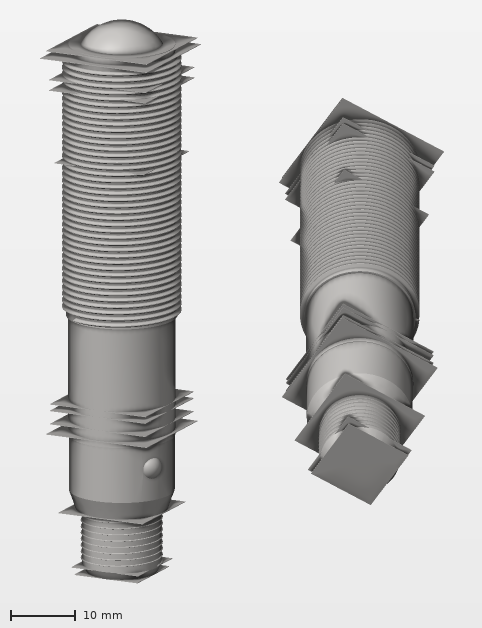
import cadquery as cq
import math

TOTAL_HEIGHT = 87.9
BARREL_TOP = 84.3
BEZEL_BOTTOM = 83.4
THREAD_TOP = 83.1
THREAD_BOTTOM = 40.9
BARREL_BOTTOM = 27.7
UPPER_BAND_BOTTOM = 26.6
MIDDLE_BAND_BOTTOM = 24.5
LOWER_BAND_BOTTOM = 22.9
CAP_SHOULDER = 21.9
CAP_TAPER_TOP = 13.1
CAP_BOTTOM = 10.1
CONNECTOR_CHAMFER_TOP = 1.3

BARREL_RADIUS = 8.3
THREAD_ROOT_RADIUS = 8.6
THREAD_CREST_RADIUS = 9.2
LENS_RIM_RADIUS = 6.7
LENS_DOME_RADIUS = 6.3
CAP_RADIUS = 8.2
CAP_END_RADIUS = 7.1
CONNECTOR_RADIUS = 6.15
CONNECTOR_CREST_RADIUS = 6.3
CONNECTOR_END_RADIUS = 5.45

THREAD_TURNS = 42
THREAD_PITCH = (THREAD_TOP - THREAD_BOTTOM) / THREAD_TURNS
THREAD_START_ANGLE = -118.0
CONNECTOR_TURNS = 8
CONNECTOR_START_ANGLE = 0.0
CONNECTOR_THREAD_BOTTOM = 1.6
THREAD_FOOT_WIDTH = 0.8
THREAD_CREST_WIDTH = 0.12
CONNECTOR_FOOT_WIDTH = 0.3
CONNECTOR_CREST_WIDTH = 0.1
RIDGE_OVERLAP = 0.1

PLATE_THICKNESS = 0.1
TOP_PLATE_HALF = 8.7
THREAD_PLATE_SIDE = 18.45
THREAD_PLATE_X = -0.1
THREAD_PLATE_Y = -0.3
UPPER_PLATE_HALF = 8.35
UPPER_PLATE_HEIGHTS = (79.5, 77.85)
NARROW_PLATE_HALF = 7.7
NARROW_PLATE_HEIGHT = 66.2
CAP_PLATE_HALF = 8.7
TAPER_PLATE_HALF = 7.3
CONNECTOR_PLATE_HALF = 5.8

LAMP_HEIGHT = 18.2
LAMP_RADIUS = 1.8
LAMP_ANGLE = -27.0
LAMP_INNER = 6.6
LAMP_RIM = 8.0
LAMP_TIP = 9.0


def disc(radius, bottom, top):
    return cq.Workplane("XY").workplane(offset=bottom).circle(radius).extrude(top - bottom)


def square_plate(side, top, x=0.0, y=0.0):
    """Thin square plate whose upper face lies at the given height."""
    return cq.Workplane("XY", origin=(x, y, top - PLATE_THICKNESS)).rect(side, side).extrude(PLATE_THICKNESS)


def helical_ridge(root_radius, crest_radius, foot_width, crest_width, turns, bottom, start_angle):
    """Right-handed trapezoidal ridge built turn by turn, closed by a flat face at each end."""
    foot_radius = root_radius - RIDGE_OVERLAP
    foot_half = foot_width / 2
    crest_half = crest_width / 2
    corners = [
        (foot_radius, -foot_half),
        (crest_radius, -crest_half),
        (crest_radius, crest_half),
        (foot_radius, foot_half),
    ]
    helices = [
        cq.Wire.makeHelix(THREAD_PITCH, THREAD_PITCH, radius).moved(cq.Location(cq.Vector(0, 0, rise)))
        for radius, rise in corners
    ]
    single_turn = [
        cq.Face.makeRuledSurface(helix, next_helix)
        for helix, next_helix in zip(helices, helices[1:] + helices[:1])
    ]
    faces = []
    for turn in range(turns):
        lift = cq.Location(cq.Vector(0, 0, turn * THREAD_PITCH))
        faces.extend(face.moved(lift) for face in single_turn)
    for end_height in (0.0, turns * THREAD_PITCH):
        outline = [cq.Vector(radius, 0, rise + end_height) for radius, rise in corners]
        faces.append(cq.Face.makeFromWires(cq.Wire.makePolygon(outline, close=True)))
    ridge = cq.Solid.makeSolid(cq.Shell.makeShell(faces))
    placed = ridge.moved(cq.Location(cq.Vector(0, 0, bottom), cq.Vector(0, 0, 1), start_angle))
    return cq.Workplane(placed)


def make_lens():
    """Spherical dome on a plain disc that sits in the bezel."""
    rise = TOTAL_HEIGHT - BARREL_TOP
    sphere_radius = (LENS_DOME_RADIUS**2 + rise**2) / (2 * rise)
    half_angle = math.asin(LENS_DOME_RADIUS / sphere_radius) / 2
    dome_middle = (
        sphere_radius * math.sin(half_angle),
        TOTAL_HEIGHT - sphere_radius * (1 - math.cos(half_angle)),
    )
    return (
        cq.Workplane("XZ")
        .moveTo(0, BEZEL_BOTTOM)
        .lineTo(LENS_RIM_RADIUS, BEZEL_BOTTOM)
        .lineTo(LENS_RIM_RADIUS, BARREL_TOP)
        .lineTo(LENS_DOME_RADIUS, BARREL_TOP)
        .threePointArc(dome_middle, (0, TOTAL_HEIGHT))
        .close()
        .revolve(360, (0, 0, 0), (0, 1, 0))
    )


def make_bezel():
    """Ring around the lens, with the topmost square plate."""
    ring = disc(BARREL_RADIUS, BEZEL_BOTTOM, BARREL_TOP)
    ring = ring.union(square_plate(2 * TOP_PLATE_HALF, BARREL_TOP - PLATE_THICKNESS))
    return ring.cut(disc(LENS_RIM_RADIUS, BEZEL_BOTTOM, BARREL_TOP))


def make_barrel():
    """Long barrel with its external thread and square plates."""
    barrel = disc(BARREL_RADIUS, BARREL_BOTTOM, BEZEL_BOTTOM)
    barrel = barrel.union(disc(THREAD_ROOT_RADIUS, THREAD_BOTTOM, THREAD_TOP))
    barrel = barrel.union(square_plate(THREAD_PLATE_SIDE, THREAD_TOP, THREAD_PLATE_X, THREAD_PLATE_Y))
    for height in UPPER_PLATE_HEIGHTS:
        barrel = barrel.union(square_plate(2 * UPPER_PLATE_HALF, height))
    barrel = barrel.union(square_plate(2 * NARROW_PLATE_HALF, NARROW_PLATE_HEIGHT))
    ridge = helical_ridge(
        THREAD_ROOT_RADIUS,
        THREAD_CREST_RADIUS,
        THREAD_FOOT_WIDTH,
        THREAD_CREST_WIDTH,
        THREAD_TURNS - 1,
        THREAD_BOTTOM + THREAD_PITCH / 2,
        THREAD_START_ANGLE,
    )
    return barrel.union(ridge)


def make_band(bottom, top):
    """Band of the rear section, with a square plate at its upper face."""
    return disc(BARREL_RADIUS, bottom, top).union(square_plate(2 * BARREL_RADIUS, top))


def make_lamp():
    """Round lamp with a domed tip, pointing out of the end cap."""
    rise = LAMP_TIP - LAMP_RIM
    sphere_radius = (LAMP_RADIUS**2 + rise**2) / (2 * rise)
    half_angle = math.asin(LAMP_RADIUS / sphere_radius) / 2
    dome_middle = (
        LAMP_TIP - sphere_radius * (1 - math.cos(half_angle)),
        sphere_radius * math.sin(half_angle),
    )
    lamp = (
        cq.Workplane("XZ")
        .moveTo(LAMP_INNER, 0)
        .lineTo(LAMP_INNER, LAMP_RADIUS)
        .lineTo(LAMP_RIM, LAMP_RADIUS)
        .threePointArc(dome_middle, (LAMP_TIP, 0))
        .close()
        .revolve(360, (0, 0, 0), (1, 0, 0))
    )
    return lamp.rotate((0, 0, 0), (0, 0, 1), LAMP_ANGLE).translate((0, 0, LAMP_HEIGHT))


def make_end_cap(lamp):
    """Rear cap with a tapered end, two square plates and a seat for the lamp."""
    cap = (
        cq.Workplane("XZ")
        .moveTo(0, CAP_BOTTOM)
        .lineTo(CAP_END_RADIUS, CAP_BOTTOM)
        .lineTo(CAP_RADIUS, CAP_TAPER_TOP)
        .lineTo(CAP_RADIUS, CAP_SHOULDER)
        .lineTo(BARREL_RADIUS, CAP_SHOULDER)
        .lineTo(BARREL_RADIUS, LOWER_BAND_BOTTOM)
        .lineTo(0, LOWER_BAND_BOTTOM)
        .close()
        .revolve(360, (0, 0, 0), (0, 1, 0))
    )
    cap = cap.union(square_plate(2 * CAP_PLATE_HALF, LOWER_BAND_BOTTOM))
    cap = cap.union(square_plate(2 * TAPER_PLATE_HALF, CAP_BOTTOM + PLATE_THICKNESS))
    return cap.cut(lamp)


def make_connector():
    """Threaded connector stub with a chamfered end and two square plates."""
    stub = (
        cq.Workplane("XZ")
        .lineTo(CONNECTOR_END_RADIUS, 0)
        .lineTo(CONNECTOR_RADIUS, CONNECTOR_CHAMFER_TOP)
        .lineTo(CONNECTOR_RADIUS, CAP_BOTTOM)
        .lineTo(0, CAP_BOTTOM)
        .close()
        .revolve(360, (0, 0, 0), (0, 1, 0))
    )
    ridge = helical_ridge(
        CONNECTOR_RADIUS,
        CONNECTOR_CREST_RADIUS,
        CONNECTOR_FOOT_WIDTH,
        CONNECTOR_CREST_WIDTH,
        CONNECTOR_TURNS,
        CONNECTOR_THREAD_BOTTOM,
        CONNECTOR_START_ANGLE,
    )
    stub = stub.union(ridge)
    stub = stub.union(square_plate(2 * CONNECTOR_PLATE_HALF, CONNECTOR_CHAMFER_TOP))
    return stub.union(square_plate(2 * CONNECTOR_END_RADIUS, PLATE_THICKNESS))


lens = make_lens()
bezel = make_bezel()
barrel = make_barrel()
band_edges = (BARREL_BOTTOM, UPPER_BAND_BOTTOM, MIDDLE_BAND_BOTTOM, LOWER_BAND_BOTTOM)
bands = [make_band(bottom, top) for top, bottom in zip(band_edges, band_edges[1:])]
lamp = make_lamp()
end_cap = make_end_cap(lamp)
connector = make_connector()

result = cq.Compound.makeCompound(
    [
        lens.val(),
        bezel.val(),
        barrel.val(),
        *[band.val() for band in bands],
        lamp.val(),
        end_cap.val(),
        connector.val(),
    ]
)